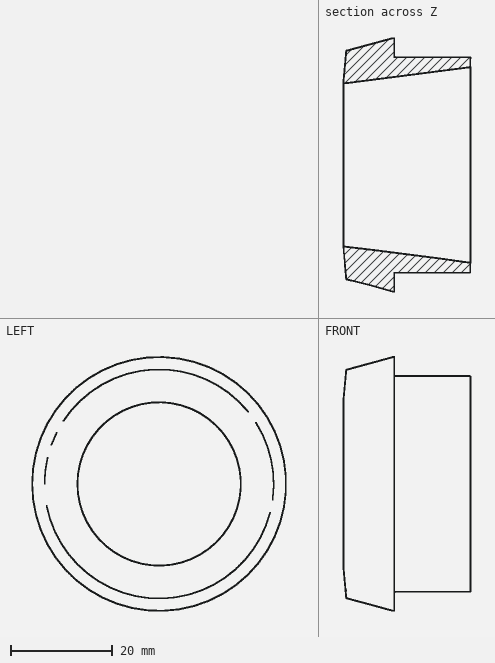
import cadquery as cq
import math

total_length = 25.0
collar_length = 10.05
collar_radius = 24.95
rim_land = 0.3
nose_radius = 22.45
nose_recess = 0.55
tube_radius = 21.2
bore_mouth_radius = 16.0
bore_exit_radius = 19.2
mouth_flat_radius = 16.45
edge_round = 0.25
tube_foot_round = 0.1


def half_section():
    """Section on one side of the axis, drawn as (x, radius)."""
    arc_middle = edge_round * (1 - math.sqrt(0.5))
    return (
        cq.Workplane("XY")
        .moveTo(edge_round, bore_mouth_radius)
        .threePointArc(
            (arc_middle, bore_mouth_radius + arc_middle),
            (0, bore_mouth_radius + edge_round),
        )
        .lineTo(0, mouth_flat_radius)
        .lineTo(nose_recess, nose_radius)
        .lineTo(collar_length - rim_land, collar_radius)
        .lineTo(collar_length, collar_radius)
        .lineTo(collar_length, tube_radius)
        .lineTo(total_length, tube_radius)
        .lineTo(total_length, bore_exit_radius)
        .close()
    )


def circles_at(body, x):
    """Circular edges of the body that lie at the given position along the axis."""
    half_thickness = 0.005
    slab = cq.selectors.BoxSelector(
        (x - half_thickness, -collar_radius, -collar_radius),
        (x + half_thickness, collar_radius, collar_radius),
    )
    return body.edges(slab).edges("%CIRCLE")


smallest = cq.selectors.RadiusNthSelector(0)
largest = cq.selectors.RadiusNthSelector(-1)

ring = half_section().revolve(360, (0, 0, 0), (1, 0, 0))

for edge_position in (nose_recess, total_length):
    ring = circles_at(ring, edge_position).edges(largest).fillet(edge_round)

ring = circles_at(ring, collar_length).edges(smallest).fillet(tube_foot_round)

result = ring